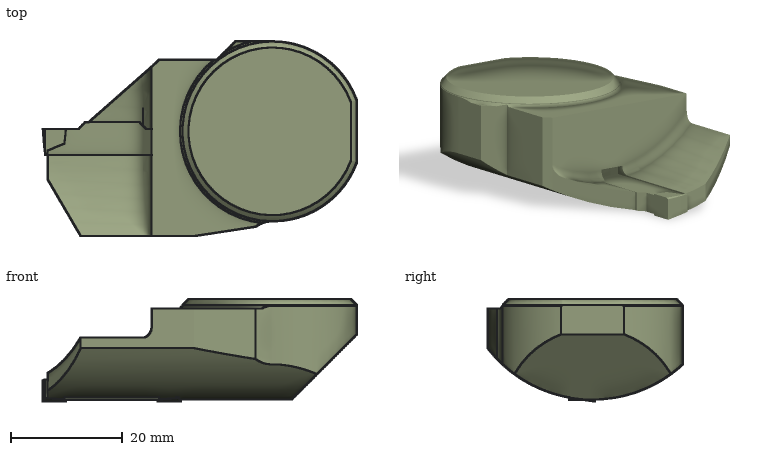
import cadquery as cq
import math


end_radius = 16.1
boss_radius = 16.05
boss_chamfer = 1.05
foot_top = -1.2
foot_radius = 16.5
flat_x = 15.1
flat_half = math.sqrt(end_radius**2 - flat_x**2)

body_top = -1.7
belly_bottom = -18.0
belly_radius = 23.7
body_end_x = -40.1
front_y = -18.75
rear_y = 12.8
ear_x = -6.55
ear_drop = end_radius - rear_y
slope_bottom_x = 3.4

wall_x = -21.55
shelf_bottom = -14.7
shelf_radius = 26.35
shelf_fillet = 1.5

strip_z = -14.6
strip_backing = 0.55
strip_front_y = -4.2
strip_rear_y = 1.6
strip_step = 1.2
tip_y = strip_rear_y - strip_step
strip_start_x = -33.45
strip_end_x = -23.75
kink_y = -2.5
pocket_top = -12.85
pocket_rear_x = -20.75
pocket_deep_x = -20.25

insert_tip_x = -41.0
insert_tail_x = -16.3
insert_mid_x = (insert_tip_x + insert_tail_x) / 2
insert_top = -14.35
insert_bottom = -18.35
insert_front_bottom = -17.65
kink_setback = 0.2
edge_setback = 0.45
edge_bevel = 0.2
head_back_x = -36.85
seam_back_y = -2.2
seam_front_y = -3.4
seam_setback = 0.3
shank_top = -15.7
shank_bottom = -18.05

clear = 112.2


def prism(points, z_low, z_high):
    """Upright prism on a closed plan outline."""
    return cq.Workplane("XY").workplane(offset=z_low).polyline(points).close().extrude(z_high - z_low)


def x_cylinder(radius, bottom, x_start, x_end):
    """Cylinder along X, given its lowest line."""
    return (
        cq.Workplane("YZ", origin=(x_start, 0, bottom + radius))
        .circle(radius)
        .extrude(x_end - x_start)
    )


def plan_block(z_low, z_high):
    """Full plan outline of the holder as an upright block."""
    arc_mid = end_radius * math.sqrt(0.5)
    return (
        cq.Workplane("XY")
        .workplane(offset=z_low)
        .moveTo(body_end_x, tip_y)
        .lineTo(body_end_x, -8.65)
        .lineTo(-34.2, front_y)
        .lineTo(-13.95, front_y)
        .lineTo(-3.0, -17.05)
        .threePointArc((-1.55, -16.3), (0, -end_radius))
        .threePointArc((arc_mid, -arc_mid), (flat_x, -flat_half))
        .lineTo(flat_x, flat_half)
        .threePointArc((arc_mid, arc_mid), (0, end_radius))
        .lineTo(ear_x, end_radius)
        .lineTo(ear_x - ear_drop, rear_y)
        .lineTo(-20.25, rear_y)
        .lineTo(wall_x, 11.55)
        .lineTo(-32.8, strip_rear_y)
        .lineTo(strip_start_x, strip_rear_y)
        .lineTo(strip_start_x - strip_step, tip_y)
        .close()
        .extrude(z_high - z_low)
    )


def make_boss():
    """Round boss with a chamfered rim, a flared foot inside the block outline, and one flat."""
    disc = (
        cq.Workplane("XZ")
        .polyline([
            (0, body_top),
            (foot_radius, body_top),
            (boss_radius, foot_top),
            (boss_radius, -boss_chamfer),
            (boss_radius - boss_chamfer, 0),
            (0, 0),
        ])
        .close()
        .revolve(360, (0, 0, 0), (0, 1, 0))
    )
    flat_profile = (
        cq.Workplane("XZ")
        .polyline([
            (-clear, body_top),
            (flat_x, body_top),
            (flat_x, -boss_chamfer),
            (flat_x - boss_chamfer, 0),
            (-clear, 0),
        ])
        .close()
        .extrude(clear, both=True)
    )
    return disc.intersect(plan_block(body_top, 0)).intersect(flat_profile)


def strip_outline():
    """Plan outline of the flat strip, from the tip to the upright wall."""
    return [
        (body_end_x, strip_front_y),
        (wall_x, strip_front_y),
        (wall_x, tip_y),
        (strip_end_x + strip_step, tip_y),
        (strip_end_x, strip_rear_y),
        (strip_start_x, strip_rear_y),
        (strip_start_x - strip_step, tip_y),
        (body_end_x, tip_y),
    ]


def make_head():
    """Cutting head at the tip end of the insert, with a sloping underside."""
    plan = [
        (insert_tip_x, tip_y),
        (insert_tip_x + kink_setback, kink_y),
        (insert_tip_x + edge_setback, strip_front_y),
        (body_end_x, strip_front_y),
        (body_end_x, seam_front_y),
        (head_back_x - seam_setback, seam_back_y),
        (head_back_x, tip_y),
    ]
    section = [
        (tip_y, insert_top),
        (tip_y, insert_bottom),
        (strip_front_y, insert_front_bottom),
        (strip_front_y, insert_top),
    ]
    profile = (
        cq.Workplane("YZ", origin=(insert_tip_x, 0, 0))
        .polyline(section)
        .close()
        .extrude(head_back_x - insert_tip_x)
    )
    head = prism(plan, insert_bottom, insert_top).intersect(profile)
    bevel = (
        cq.Workplane("XZ")
        .polyline([
            (insert_tip_x, insert_top - edge_bevel),
            (insert_tip_x, insert_top),
            (insert_tip_x + edge_setback, insert_top),
        ])
        .close()
        .extrude(clear, both=True)
    )
    return head.cut(bevel)


def make_insert():
    """Two mirrored heads joined by a shallower shank."""
    head = make_head()
    tail = head.mirror("YZ", (insert_mid_x, 0, 0))
    shank_start = head_back_x - seam_setback
    shank_end = 2 * insert_mid_x - shank_start
    shank = prism(
        [(shank_start, strip_front_y), (shank_end, strip_front_y), (shank_end, tip_y), (shank_start, tip_y)],
        shank_bottom,
        shank_top,
    )
    return head.union(shank).union(tail)


def make_holder(insert):
    """Holder block with shelf, strip, boss and a seat for the insert."""
    block = plan_block(belly_bottom, body_top)
    block = block.intersect(x_cylinder(belly_radius, belly_bottom, -clear, clear))

    relief = (
        cq.Workplane("XZ")
        .polyline([
            (slope_bottom_x, belly_bottom),
            (slope_bottom_x + clear, belly_bottom + clear),
            (slope_bottom_x + clear, belly_bottom),
        ])
        .close()
        .extrude(clear, both=True)
    )
    block = block.cut(relief)

    shelf = x_cylinder(shelf_radius, shelf_bottom, -clear, wall_x).faces(">X").edges().fillet(shelf_fillet)
    block = block.cut(shelf)

    strip = strip_outline()
    block = block.cut(prism(strip, strip_z, body_top))
    block = block.union(prism(strip, shelf_bottom - strip_backing, strip_z))

    pocket = [
        (wall_x, strip_front_y),
        (pocket_deep_x, strip_front_y),
        (pocket_deep_x, kink_y),
        (pocket_rear_x, tip_y),
        (wall_x, tip_y),
    ]
    block = block.cut(prism(pocket, strip_z, pocket_top))

    return block.union(make_boss()).cut(insert)


insert = make_insert()
holder = make_holder(insert)
result = cq.Compound.makeCompound([holder.val(), insert.val()])